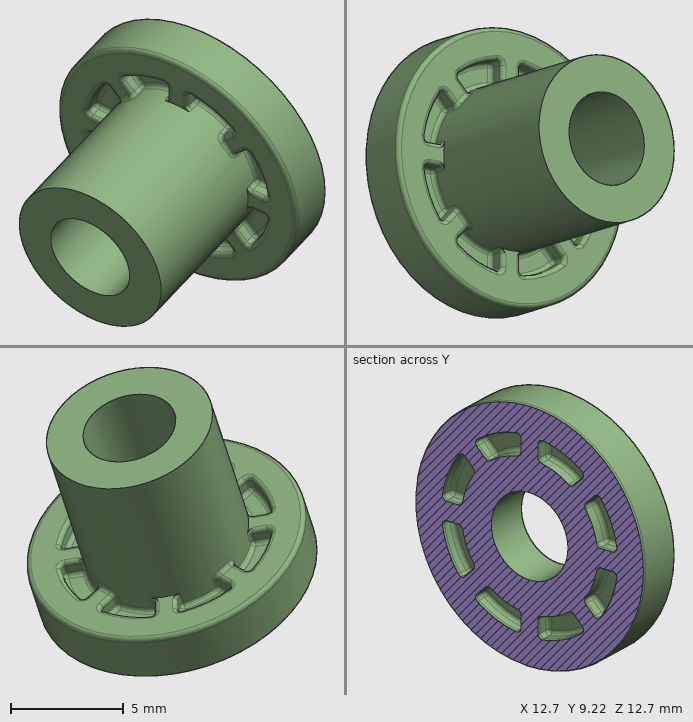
import cadquery as cq
import math

flange_radius = 6.35
flange_thickness = 2.31
total_length = 9.22
barrel_radius = 3.78
bore_radius = 2.11
pocket_outer_radius = 4.85
pocket_depth = 0.8
pocket_count = 8
rib_width = 1.02
round_radius = 0.2

tolerance = 0.001
flange_face_y = -flange_thickness
pocket_floor_y = flange_face_y + pocket_depth
pocket_angle = 360.0 / pocket_count


def disc(radius, length):
    """Cylinder on the axis, from the back face (Y = 0) toward -Y."""
    return cq.Workplane("XZ").circle(radius).extrude(length)


def ring(outer_radius, start_y, length):
    """Ring fitting closely around the barrel, from start_y toward -Y."""
    outline = cq.Workplane("XZ", origin=(0, start_y, 0)).circle(outer_radius).circle(barrel_radius)
    return outline.extrude(length)


def cross_bar(width, angle):
    """Bar reaching across the whole part at an angle about the axis."""
    bar = cq.Workplane("XY").box(2 * flange_radius, 2 * total_length, width)
    return bar.rotate((0, 0, 0), (0, 1, 0), angle)


def pockets():
    """Ring of pockets around the barrel, separated by ribs of constant width."""
    cutter = ring(pocket_outer_radius, pocket_floor_y, pocket_depth)
    for index in range(pocket_count // 2):
        cutter = cutter.cut(cross_bar(rib_width, index * pocket_angle))
    return cutter


def end_radii(edge):
    """Smaller and larger distance of the edge's ends from the axis."""
    radii = [math.hypot(point.x, point.z) for point in (edge.startPoint(), edge.endPoint())]
    return min(radii), max(radii)


def lies_at(edge, y):
    """True if the whole edge lies in the plane at this Y."""
    box = edge.BoundingBox()
    return abs(box.ymin - y) < tolerance and abs(box.ymax - y) < tolerance


def is_pocket_corner(edge):
    """Edge running along Y from near the flange face down to a pocket floor."""
    box = edge.BoundingBox()
    in_pocket = box.ymin > flange_face_y - tolerance and box.ymax < pocket_floor_y + tolerance
    return in_pocket and box.ymax - box.ymin > pocket_depth / 2


def is_outer_corner(edge):
    return is_pocket_corner(edge) and end_radii(edge)[0] > barrel_radius + round_radius


def is_pocket_rim(edge):
    """Pocket outline on the flange face, without the part along the barrel."""
    largest = end_radii(edge)[1]
    in_pocket_zone = barrel_radius + round_radius < largest < pocket_outer_radius + tolerance
    return lies_at(edge, flange_face_y) and in_pocket_zone


def is_concave_edge(edge):
    """Inner pocket corners, pocket floor outline and the foot of the barrel on each rib."""
    smallest, largest = end_radii(edge)
    if is_pocket_corner(edge):
        return smallest < barrel_radius + round_radius
    if lies_at(edge, flange_face_y):
        return largest < barrel_radius + tolerance
    return lies_at(edge, pocket_floor_y)


def round_edges(body, is_wanted):
    edges = [edge for edge in body.edges().vals() if is_wanted(edge)]
    return body.newObject(edges).fillet(round_radius)


flange = disc(flange_radius, flange_thickness).faces("<Y").edges().fillet(round_radius)
body = flange.cut(pockets()).union(disc(barrel_radius, total_length))

for is_wanted in (is_outer_corner, is_pocket_rim, is_concave_edge):
    body = round_edges(body, is_wanted)

foot_width = rib_width + 2 * round_radius
foot_zone = ring(pocket_outer_radius, flange_face_y, 2 * round_radius)
for angle in (0, 90):
    body = body.cut(foot_zone.intersect(cross_bar(foot_width, angle)))

result = body.cut(disc(bore_radius, total_length))